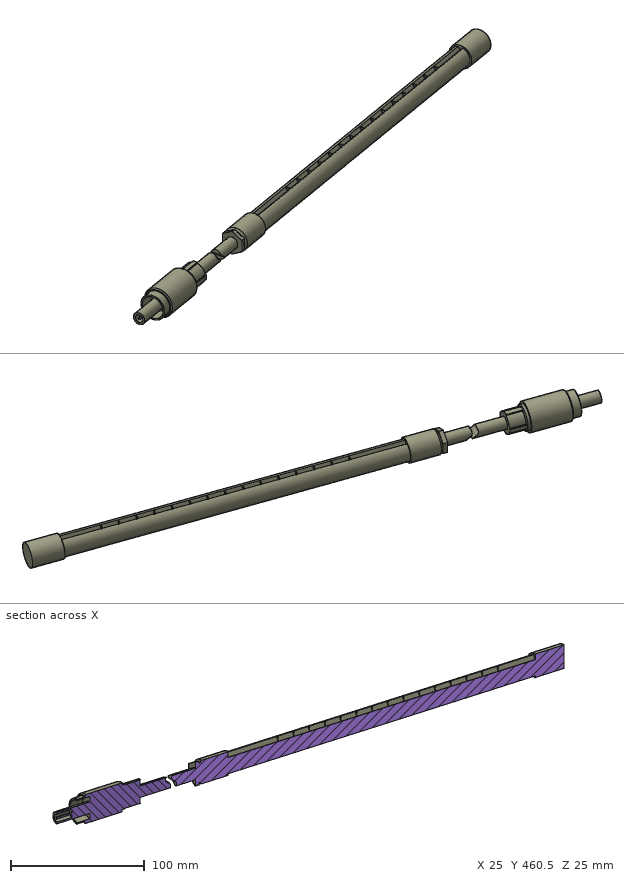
import cadquery as cq
import math

total_length = 460.5
front_y = -total_length / 2
back_y = total_length / 2

tube_radius = 8.7
cap_radius = 10.0
cap_length = 26.2
cap_chamfer = 2.0
front_cap_y = front_y + 129.5
tube_start_y = front_cap_y + cap_length
tube_end_y = back_y - cap_length

groove_width = 4.0
groove_depth = 3.0

web_count = 15
web_pitch = 14.5
web_thickness = 0.5
first_web_y = front_y + 201.0

nut_corner_radius = 10.0
nut_length = 3.5
nut_front_y = front_cap_y - nut_length

cable_radius = 5.0
break_gap = 5.0
break_bulge = 2.5
break_bulge_height = 3.0
break_edge_shift = 2.0
light_break_y = front_y + 106.5
plug_break_y = light_break_y - break_gap

barrel_radius = 5.0
bore_radius = 3.0
bore_depth = 14.0
pin_radius = 1.0
collar_radius = 10.5
socket_radius = 9.0
collar_front_y = front_y + 18.5
socket_depth = 11.5
grip_radius = 12.5
grip_front_y = front_y + 25.5
grip_back_y = front_y + 59.5
grip_chamfer = 1.0
neck_radius = 10.5
neck_back_y = front_y + 62.5
neck_chamfer = 1.0
relief_radius = 9.0
relief_back_y = front_y + 76.0

rib_count = 4
rib_width = 3.5
rib_top_radius = 10.0
rib_front_y = neck_back_y - neck_chamfer


def rod(radius, start_y, end_y):
    """Round bar along the Y axis between two Y positions."""
    plane = cq.Workplane("XZ", origin=(0, start_y, 0))
    return plane.circle(radius).extrude(-(end_y - start_y))


def cable_side(mid_y, direction):
    """Block ending at the S-shaped break; direction +1 fills toward +Y, -1 toward -Y."""
    half_width = 2 * cable_radius
    top_y = mid_y - break_edge_shift
    bottom_y = mid_y + break_edge_shift
    far_y = mid_y + direction * total_length
    return (
        cq.Workplane("YZ", origin=(-half_width, 0, 0))
        .moveTo(far_y, cable_radius)
        .lineTo(top_y, cable_radius)
        .threePointArc((mid_y - break_bulge, break_bulge_height), (mid_y, 0))
        .threePointArc((mid_y + break_bulge, -break_bulge_height), (bottom_y, -cable_radius))
        .lineTo(far_y, -cable_radius)
        .close()
        .extrude(2 * half_width)
    )


def groove_prism(start_y, length):
    """Triangular prism that fills the V-groove over a length of the tube."""
    half_width = groove_width / 2
    rim_z = math.sqrt(tube_radius**2 - half_width**2)
    return (
        cq.Workplane("XZ", origin=(0, start_y, 0))
        .moveTo(0, rim_z - groove_depth)
        .lineTo(half_width, rim_z)
        .lineTo(half_width, tube_radius)
        .lineTo(-half_width, tube_radius)
        .lineTo(-half_width, rim_z)
        .close()
        .extrude(-length)
    )


def make_tube():
    """Tube with its V-groove, crossed by the thin webs."""
    groove = groove_prism(tube_start_y, tube_end_y - tube_start_y)
    for index in range(web_count):
        web_start_y = first_web_y + index * web_pitch - web_thickness / 2
        groove = groove.cut(groove_prism(web_start_y, web_thickness))
    return rod(tube_radius, tube_start_y, tube_end_y).cut(groove)


def make_light():
    """Grooved tube, end caps, gland nut and its stub of cable."""
    tube = make_tube()
    back_cap = rod(cap_radius, tube_end_y, back_y)
    front_cap = rod(cap_radius, front_cap_y, tube_start_y).faces("<Y").chamfer(cap_chamfer)
    nut = (
        cq.Workplane("XZ", origin=(0, nut_front_y, 0))
        .transformed(rotate=(0, 0, 90))
        .polygon(6, 2 * nut_corner_radius)
        .extrude(-nut_length)
    )
    stub_start_y = light_break_y - break_gap
    stub = rod(cable_radius, stub_start_y, nut_front_y).intersect(cable_side(light_break_y, 1))
    return tube.union(back_cap).union(front_cap).union(nut).union(stub)


def make_rib(angle):
    """One strain relief rib, turned about the Y axis."""
    length = relief_back_y - rib_front_y
    rib = cq.Workplane("XY").box(rib_width, length, rib_top_radius, centered=(True, False, False))
    return rib.translate((0, rib_front_y, 0)).rotate((0, 0, 0), (0, 1, 0), angle)


def make_plug():
    """Plug with its barrel, open collar, grip, ribbed strain relief and stub of cable."""
    collar = rod(collar_radius, collar_front_y, grip_front_y)
    socket = rod(socket_radius, collar_front_y, collar_front_y + socket_depth)
    grip = rod(grip_radius, grip_front_y, grip_back_y).faces("<Y").chamfer(grip_chamfer)
    neck = rod(neck_radius, grip_back_y, neck_back_y).faces(">Y").chamfer(neck_chamfer)
    relief = rod(relief_radius, grip_back_y, relief_back_y)
    plug = grip.union(collar).cut(socket).union(neck).union(relief)
    for index in range(rib_count):
        plug = plug.union(make_rib(index * 360 / rib_count))

    barrel = rod(barrel_radius, front_y, grip_back_y)
    bore = rod(bore_radius, front_y, front_y + bore_depth)
    pin = rod(pin_radius, front_y, front_y + bore_depth)
    plug = plug.union(barrel).cut(bore).union(pin)

    stub_end_y = plug_break_y + break_gap
    stub = rod(cable_radius, relief_back_y, stub_end_y).intersect(cable_side(plug_break_y, -1))
    return plug.union(stub)


light = make_light()
plug = make_plug()

result = cq.Compound.makeCompound([light.val(), plug.val()])